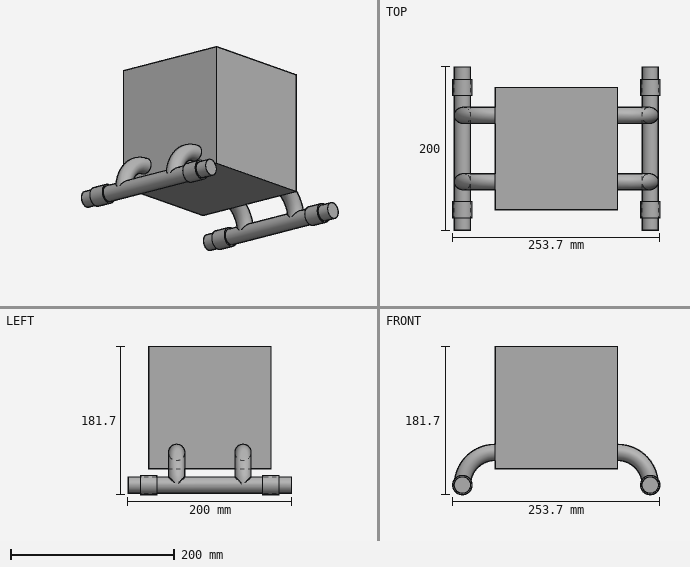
import cadquery as cq

housing_side = 150.0

overall_width = 253.7
rail_diameter = 20.0
rail_length = 200.0
rail_drop = 19.8
leg_diameter = 20.0
leg_spacing = 81.2

sleeve_diameter = 23.8
sleeve_length = 20.0
sleeve_end_gap = 15.2

housing_half = housing_side / 2
rail_x = (overall_width - sleeve_diameter) / 2
leg_bend_radius = rail_x - housing_half
leg_start_height = leg_bend_radius - rail_drop
sleeve_y = rail_length / 2 - sleeve_end_gap - sleeve_length / 2
SIDES = (-1, 1)


def cylinder_along_y(diameter, length, x, y):
    """Cylinder parallel to Y at rail height, centred on (x, y)."""
    return (
        cq.Workplane("XZ", origin=(x, y + length / 2, -rail_drop))
        .circle(diameter / 2)
        .extrude(length)
    )


def make_leg(side, y):
    """Quarter bend from the housing wall down to the axis of the rail."""
    return (
        cq.Workplane("YZ", origin=(side * housing_half, y, leg_start_height))
        .circle(leg_diameter / 2)
        .revolve(90, (0, -leg_bend_radius, 0), (side, -leg_bend_radius, 0))
    )


def make_frame():
    """Housing, legs and rails as one solid."""
    frame = cq.Workplane("XY").box(
        housing_side, housing_side, housing_side, centered=(True, True, False)
    )
    for side in SIDES:
        frame = frame.union(cylinder_along_y(rail_diameter, rail_length, side * rail_x, 0))
        for end in SIDES:
            frame = frame.union(make_leg(side, end * leg_spacing / 2))
    return frame


def make_sleeve(side, end):
    """Ring that closely fits the rail."""
    x = side * rail_x
    y = end * sleeve_y
    bore = cylinder_along_y(rail_diameter, sleeve_length, x, y)
    return cylinder_along_y(sleeve_diameter, sleeve_length, x, y).cut(bore)


frame = make_frame()
sleeves = [make_sleeve(side, end) for side in SIDES for end in SIDES]

result = cq.Compound.makeCompound([frame.solids().val(), *[sleeve.solids().val() for sleeve in sleeves]])